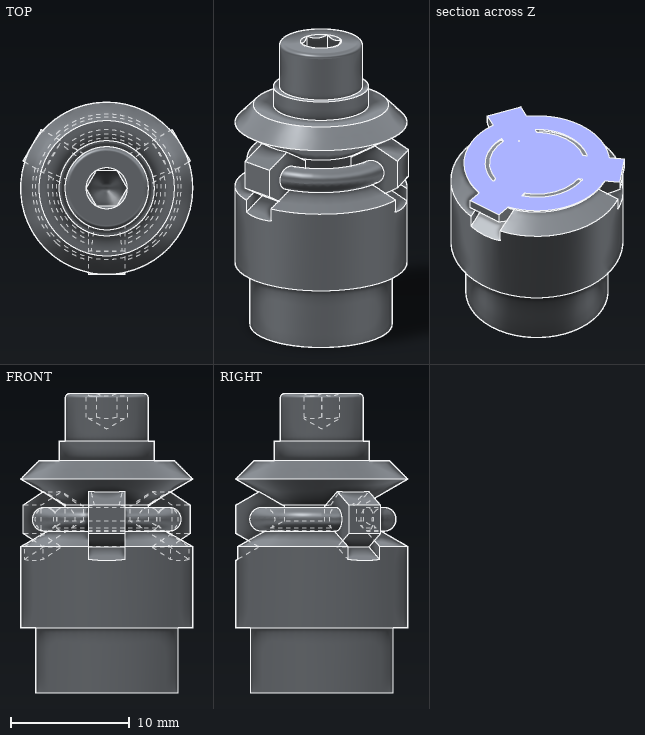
import cadquery as cq
import math

height = 25.2
outer_diameter = 14.5
outer_radius = outer_diameter / 2
cone_angle = 30.0
slope = math.tan(math.radians(cone_angle))

base_radius = 6.0
base_height = 5.5
body_top = 12.32

post_radius = 3.5
disc_rim_height = 18.0
disc_top_radius = 5.7
disc_top_height = 19.55
cone_rise = (outer_radius - post_radius) * slope

collar_radius = 4.0
collar_top = 21.2
head_radius = 3.5
head_rounding = 0.4

socket_flats = 3.0
socket_depth = 2.0
socket_entry_angle = 45.0
socket_tip_angle = 30.0
socket_corner_radius = socket_flats / math.sqrt(3)

jaw_directions = (30, 150, 270)
jaw_width = 3.07
jaw_middle = 14.62
jaw_face_height = 2.37
jaw_face_top = jaw_middle + jaw_face_height / 2
jaw_face_bottom = jaw_middle - jaw_face_height / 2
jaw_apex_radius = 5.27
apex_rise = (outer_radius - jaw_apex_radius) * slope
jaw_top = jaw_face_top + apex_rise
jaw_bottom = jaw_face_bottom - apex_rise
jaw_inner_radius = post_radius / 2
inner_rise = (jaw_apex_radius - jaw_inner_radius) * slope

slot_overrun = 1.25
slot_outer_radius = outer_radius + slot_overrun
slot_outer_drop = (slot_outer_radius - jaw_apex_radius) * slope

ring_radius = 5.25
ring_wire_radius = 1.0


def turn(points):
    """Revolve a (radius, height) outline about the Z axis."""
    return cq.Workplane("XZ").polyline(points).close().revolve(360, (0, 0, 0), (0, 1, 0))


def radial_prism(points, direction):
    """Extrude a (radius, height) outline to the jaw width and turn it to a direction."""
    prism = cq.Workplane("XZ").polyline(points).close().extrude(jaw_width / 2, both=True)
    return prism.rotate((0, 0, 0), (0, 0, 1), direction)


def make_turned_body():
    """Base, body, both cones, post, clamping disc and collar."""
    return turn([
        (0, 0),
        (base_radius, 0),
        (base_radius, base_height),
        (outer_radius, base_height),
        (outer_radius, body_top),
        (post_radius, body_top + cone_rise),
        (post_radius, disc_rim_height - cone_rise),
        (outer_radius, disc_rim_height),
        (disc_top_radius, disc_top_height),
        (collar_radius, disc_top_height),
        (collar_radius, collar_top),
        (0, collar_top),
    ])


def make_slot(direction):
    """Cutter whose sloped floor carries the underside of one jaw."""
    return radial_prism(
        [
            (jaw_inner_radius, jaw_bottom + inner_rise),
            (slot_outer_radius, jaw_bottom - slot_outer_drop),
            (slot_outer_radius, jaw_middle),
            (jaw_inner_radius, jaw_middle),
        ],
        direction,
    )


def make_jaw(direction):
    """Jaw with a flat outer face and slopes that follow both cones."""
    return radial_prism(
        [
            (jaw_inner_radius, jaw_bottom + inner_rise),
            (jaw_apex_radius, jaw_bottom),
            (outer_radius, jaw_face_bottom),
            (outer_radius, jaw_face_top),
            (jaw_apex_radius, jaw_top),
            (jaw_inner_radius, jaw_top - inner_rise),
        ],
        direction,
    )


def make_ring():
    """Spring ring with a round cross-section."""
    return (
        cq.Workplane("XZ")
        .center(ring_radius, jaw_middle)
        .circle(ring_wire_radius)
        .revolve(360, (-ring_radius, 0, 0), (-ring_radius, 1, 0))
    )


def make_screw_head():
    """Round screw head with a rounded top edge."""
    head = cq.Workplane("XY", origin=(0, 0, collar_top)).circle(head_radius).extrude(height - collar_top)
    return head.faces(">Z").edges().fillet(head_rounding)


def make_socket():
    """Hexagon hole with a conical bottom and a conical countersink."""
    hexagon = (
        cq.Workplane("XY", origin=(0, 0, collar_top))
        .polygon(6, 2 * socket_corner_radius)
        .extrude(height - collar_top)
    )
    floor = height - socket_depth
    tip_drop = socket_corner_radius * math.tan(math.radians(socket_tip_angle))
    drilling = turn([
        (0, height),
        (socket_corner_radius, height),
        (socket_corner_radius, floor),
        (0, floor - tip_drop),
    ])
    entry_drop = socket_corner_radius * math.tan(math.radians(socket_entry_angle))
    countersink = turn([
        (0, height),
        (socket_corner_radius, height),
        (0, height - entry_drop),
    ])
    return hexagon.intersect(drilling).union(countersink)


result = make_turned_body()
for direction in jaw_directions:
    result = result.cut(make_slot(direction))
for direction in jaw_directions:
    result = result.union(make_jaw(direction))
result = result.union(make_ring())
result = result.union(make_screw_head())
result = result.cut(make_socket())